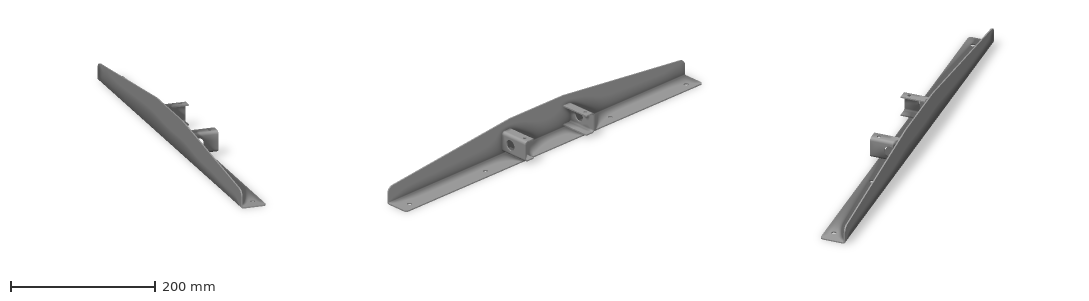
import cadquery as cq

length = 575.0
height = 51.0
flange_depth = 37.5
sheet = 2.0
bend_radius = 3.5
end_height = 26.0
crest_length = 103.5
end_radius = 10.0
flange_corner_radius = 4.5

mount_hole_diameter = 7.0
mount_hole_y = 24.0
mount_hole_offsets = (121.0, 268.0)

bracket_back = 48.0
bracket_outer_x = 67.0
bracket_width = 16.0
bracket_bottom = 5.0
bracket_height = 31.0
bracket_bend_radius = 4.5
bracket_middle_z = bracket_bottom + bracket_height / 2
bracket_length = bracket_back - sheet

web_hole_diameter = 16.0
web_hole_y = 18.5
tab_hole_diameter = 5.0
tab_hole_from_back = 10.0
tab_hole_from_edge = 7.5


def make_angle_plate():
    """Bend an L section, then trim its front face and flange to outline."""
    outer = (
        cq.Workplane("XY")
        .box(length, flange_depth, height, centered=(True, False, False))
        .edges("|X and <Y and <Z")
        .fillet(bend_radius)
    )
    inner = (
        cq.Workplane("XY")
        .box(length, flange_depth, height, centered=(True, False, False))
        .translate((0, sheet, sheet))
        .edges("|X and <Y and <Z")
        .fillet(bend_radius - sheet)
    )
    half_length = length / 2
    half_crest = crest_length / 2
    face_outline = (
        cq.Workplane("XZ")
        .polyline([
            (-half_length, 0),
            (half_length, 0),
            (half_length, end_height),
            (half_crest, height),
            (-half_crest, height),
            (-half_length, end_height),
        ])
        .close()
        .extrude(-flange_depth)
        .edges(cq.selectors.BoxSelector(
            (-length, 0, end_height - sheet),
            (length, flange_depth, end_height + sheet),
        ))
        .edges("|Y")
        .fillet(end_radius)
    )
    flange_outline = (
        cq.Workplane("XY")
        .box(length, flange_depth, height, centered=(True, False, False))
        .edges("|Z and >Y")
        .fillet(flange_corner_radius)
    )
    hole_places = [
        (side * offset, mount_hole_y)
        for side in (-1, 1)
        for offset in mount_hole_offsets
    ]
    holes = (
        cq.Workplane("XY")
        .pushPoints(hole_places)
        .circle(mount_hole_diameter / 2)
        .extrude(sheet)
    )
    return outer.cut(inner).intersect(face_outline).intersect(flange_outline).cut(holes)


def make_left_bracket():
    """Channel with its web on the outer (-X) side and its flanges towards +X."""
    web_x = -bracket_outer_x
    inner_edge_x = web_x + bracket_width
    outer = (
        cq.Workplane("XY")
        .box(bracket_width, bracket_length, bracket_height, centered=(False, False, True))
        .translate((web_x, sheet, bracket_middle_z))
        .edges("|Y and <X")
        .fillet(bracket_bend_radius)
    )
    channel = (
        cq.Workplane("XY")
        .box(bracket_width, bracket_length, bracket_height - 2 * sheet, centered=(False, False, True))
        .translate((web_x + sheet, sheet, bracket_middle_z))
        .edges("|Y and <X")
        .fillet(bracket_bend_radius - sheet)
    )
    web_hole = (
        cq.Workplane("YZ", origin=(web_x, web_hole_y, bracket_middle_z))
        .circle(web_hole_diameter / 2)
        .extrude(sheet)
    )
    tab_hole = (
        cq.Workplane("XY", origin=(
            inner_edge_x - tab_hole_from_edge,
            bracket_back - tab_hole_from_back,
            bracket_middle_z,
        ))
        .circle(tab_hole_diameter / 2)
        .extrude(bracket_height / 2)
    )
    return outer.cut(channel).cut(web_hole).cut(tab_hole)


left_bracket = make_left_bracket()
right_bracket = left_bracket.mirror("YZ")
result = make_angle_plate().union(left_bracket).union(right_bracket)